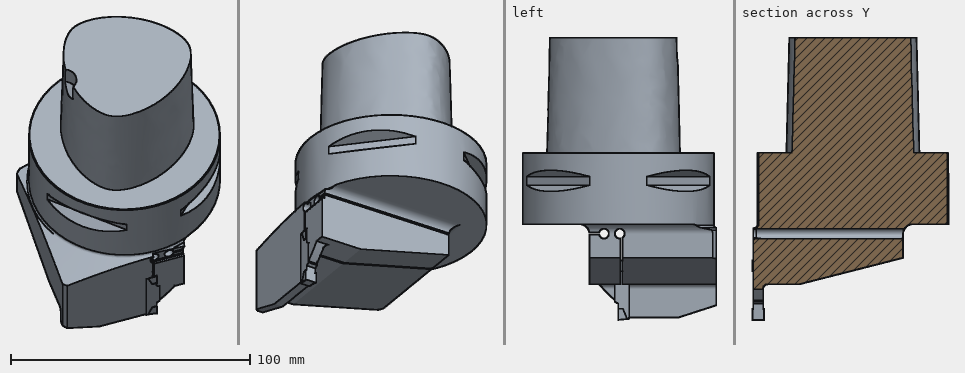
import cadquery as cq
import math


shank_height = 48.0
shank_radius = 27.8
lobe_count = 3
shank_lobe = 2.0
shank_taper = 1 / 40
shank_points = 36

keyway_radius = 5.5
keyway_depth = 8.1
keyway_point = 4.2
keyway_y = -27.0

flange_radius = 40.0
flange_height = 30.0
flange_chamfer = 0.4
notch_count = 4
notch_first_angle = 45
notch_floor_distance = 35.4
notch_floor_height = 3.5
notch_z = -11.8
notch_wall_angle = 30
notch_margin = 2.4

head_left = -21.0
head_right = 41.7
head_front = -41.0
head_back = 12.2
head_bottom = -55.1
head_left_bottom = -44.0
slope_end_x = 22.5
corner_chamfer = 1.5
head_fillet = 4.0

collar_lip = 0.4
collar_fillet = 1.1
cone_angle = 15
cone_radius = 70.8

blade_left = 37.5
blade_bottom = -68.9
blade_fillet = 1.9
blade_slope_y = -25.3
blade_front_bottom = -63.8
jaw_tip_bottom = -61.6
jaw_bulge_y = 4.5
jaw_bulge_z = -58.9
jaw_root_y = 7.9

relief_radius = 2.0
relief_z = -33.9
outer_relief_y = 6.0
inner_relief_y = -0.6
slit_width = 0.8
jaw_slit_y = -1.3
jaw_step_x = 40.4
jaw_bevel = 0.6

insert_left = 37.4
insert_top = 1.5
insert_seat = -4.5
insert_tip = shank_height - 118
insert_length = 25.0
edge_left = 37.0
edge_right = 42.0
edge_y = 0.1
edge_land_length = 6.8
edge_ramp_length = 0.8
edge_clearance = 0.5
edge_height = 4.7
edge_toe_y = -3.4
edge_toe_length = 1.1
edge_heel_y = -1.9


def lobed_outline(radius, z):
    """Closed three-lobed curve with one lobe toward +Y."""
    points = []
    for i in range(shank_points):
        angle = 2 * math.pi * i / shank_points
        phase = lobe_count * (angle - math.pi / 2)
        support = radius + shank_lobe * math.cos(phase)
        slope = -lobe_count * shank_lobe * math.sin(phase)
        x = support * math.cos(angle) - slope * math.sin(angle)
        y = support * math.sin(angle) + slope * math.cos(angle)
        points.append(cq.Vector(x, y, z))
    return cq.Wire.assembleEdges([cq.Edge.makeSpline(points, periodic=True)])


def make_shank():
    base = lobed_outline(shank_radius, 0)
    tip = lobed_outline(shank_radius - shank_taper * shank_height, shank_height)
    return cq.Workplane(cq.Solid.makeLoft([base, tip], True)).cut(make_keyway())


def make_keyway():
    """Drilled hole with a conical floor, open at the tip and on the -Y side."""
    shoulder_z = shank_height - keyway_depth
    profile = [
        (0, shank_height),
        (keyway_radius, shank_height),
        (keyway_radius, shoulder_z),
        (0, shoulder_z - keyway_point),
    ]
    keyway = cq.Workplane("XZ").polyline(profile).close().revolve(360, (0, 0), (0, 1))
    return keyway.translate((0, keyway_y, 0))


def make_flange():
    flange = cq.Workplane("XY").circle(flange_radius).extrude(-flange_height)
    flange = flange.faces(">Z").edges().chamfer(flange_chamfer)
    for i in range(notch_count):
        angle = notch_first_angle + 360 / notch_count * i
        flange = flange.cut(make_notch().rotate((0, 0, 0), (0, 0, 1), angle))
    return flange


def make_notch():
    """Gripper notch across the rim on the +X side, with a flat floor and sloping walls."""
    outer = flange_radius + notch_margin
    half_floor = notch_floor_height / 2
    half_mouth = half_floor + (outer - notch_floor_distance) * math.tan(math.radians(notch_wall_angle))
    profile = [
        (notch_floor_distance, notch_z - half_floor),
        (outer, notch_z - half_mouth),
        (outer, notch_z + half_mouth),
        (notch_floor_distance, notch_z + half_floor),
    ]
    return cq.Workplane("XZ").polyline(profile).close().extrude(flange_radius, both=True)


def make_collar():
    """Round envelope under the flange, with its conical upper side falling outward."""
    lip_z = -flange_height - collar_lip
    turn = math.radians(90 - cone_angle)
    cone_start_x = flange_radius + collar_fillet * (1 - math.cos(turn))
    cone_start_z = lip_z - collar_fillet * math.sin(turn)
    half_x = flange_radius + collar_fillet * (1 - math.cos(turn / 2))
    half_z = lip_z - collar_fillet * math.sin(turn / 2)
    cone_end_z = cone_start_z - (cone_radius - cone_start_x) * math.tan(math.radians(cone_angle))
    return (
        cq.Workplane("XZ")
        .moveTo(0, -flange_height)
        .lineTo(flange_radius, -flange_height)
        .lineTo(flange_radius, lip_z)
        .threePointArc((half_x, half_z), (cone_start_x, cone_start_z))
        .lineTo(cone_radius, cone_end_z)
        .lineTo(cone_radius, insert_tip)
        .lineTo(0, insert_tip)
        .close()
        .revolve(360, (0, 0), (0, 1))
    )


def head_front_profile():
    """Head and blade outline in X and Z, flared into the flange on the left."""
    flare_end_z = -flange_height - head_fillet
    return (
        cq.Workplane("XZ")
        .moveTo(head_left - head_fillet, -flange_height)
        .radiusArc((head_left, flare_end_z), head_fillet)
        .lineTo(head_left, head_left_bottom)
        .lineTo(slope_end_x, head_bottom)
        .lineTo(blade_left - blade_fillet, head_bottom)
        .radiusArc((blade_left, head_bottom - blade_fillet), blade_fillet)
        .lineTo(blade_left, blade_bottom)
        .lineTo(head_right, blade_bottom)
        .lineTo(head_right, -flange_height)
        .close()
        .extrude(cone_radius, both=True)
    )


def head_side_profile():
    """Head and blade outline in Y and Z, flared into the flange at the back."""
    flare_end_z = -flange_height - head_fillet
    return (
        cq.Workplane("YZ")
        .moveTo(head_back + head_fillet, -flange_height)
        .radiusArc((head_back, flare_end_z), -head_fillet)
        .lineTo(head_back, head_bottom)
        .lineTo(jaw_root_y, head_bottom)
        .threePointArc((jaw_bulge_y, jaw_bulge_z), (insert_top, jaw_tip_bottom))
        .lineTo(insert_seat, jaw_tip_bottom)
        .lineTo(insert_seat, blade_bottom)
        .lineTo(blade_slope_y, blade_bottom)
        .lineTo(head_front, blade_front_bottom)
        .lineTo(head_front, -flange_height)
        .close()
        .extrude(cone_radius, both=True)
    )


def head_plan():
    """Head outline in X and Y, with the two front corners cut at 45 degrees."""
    flare_left = head_left - head_fillet
    flare_back = head_back + head_fillet
    outline = [
        (flare_left, flare_back),
        (flare_left, head_front + corner_chamfer + head_fillet),
        (head_left + corner_chamfer, head_front),
        (head_right - corner_chamfer, head_front),
        (head_right, head_front + corner_chamfer),
        (head_right, flare_back),
    ]
    return cq.Workplane("XY").polyline(outline).close().extrude(insert_tip)


def make_head():
    """Block and blade below the flange, before the slits and the insert seat are cut."""
    head = head_front_profile().intersect(head_side_profile())
    return head.intersect(head_plan()).intersect(make_collar())


def box_between(x_range, y_range, z_range):
    size = [high - low for low, high in (x_range, y_range, z_range)]
    corner = (x_range[0], y_range[0], z_range[0])
    return cq.Workplane("XY").box(*size, centered=False).translate(corner)


def make_slits():
    """Two cross holes and the slits that run out of them."""
    across = (-cone_radius, cone_radius)
    half_slit = slit_width / 2
    holes = (
        cq.Workplane("YZ")
        .pushPoints([(outer_relief_y, relief_z), (inner_relief_y, relief_z)])
        .circle(relief_radius)
        .extrude(cone_radius, both=True)
    )
    outer_slit = box_between(
        across, (outer_relief_y, cone_radius), (relief_z - half_slit, relief_z + half_slit))
    jaw_slit = box_between(
        across, (jaw_slit_y - half_slit, jaw_slit_y + half_slit), (head_bottom, relief_z))
    return holes.union(outer_slit).union(jaw_slit)


def make_jaw_step():
    """Setback of the head's right side above the jaw, with a bevel along the jaw's upper edge."""
    step_z = relief_z - relief_radius
    profile = [
        (jaw_step_x, -flange_height),
        (jaw_step_x, step_z),
        (head_right - jaw_bevel, step_z),
        (head_right, step_z - jaw_bevel),
        (cone_radius, step_z - jaw_bevel),
        (cone_radius, -flange_height),
    ]
    step = cq.Workplane("XZ", origin=(0, jaw_slit_y, 0)).polyline(profile).close()
    return step.extrude(-cone_radius)


def make_seat_relief():
    """Clearance through the blade fillet, so that the insert side lies open below the head."""
    return box_between(
        (blade_left - blade_fillet, insert_left),
        (insert_seat, insert_top),
        (head_bottom - blade_fillet, head_bottom),
    )


def make_insert():
    """Double-ended insert, mirrored about the middle of its length.

    Each cutting end is widest at its edge and narrows to the body behind it.
    """
    middle_z = insert_tip + insert_length / 2
    edge_root_z = insert_tip + edge_land_length
    body = (
        cq.Workplane("YZ", origin=(insert_left, 0, 0))
        .moveTo(insert_seat, middle_z)
        .lineTo(insert_seat, insert_tip + edge_clearance)
        .lineTo(edge_y, insert_tip)
        .lineTo(edge_y, edge_root_z)
        .lineTo(insert_top, edge_root_z + edge_ramp_length)
        .lineTo(insert_top, middle_z)
        .close()
        .extrude(head_right - insert_left)
    )
    edge = (
        cq.Workplane("YZ", origin=(edge_left, 0, 0))
        .moveTo(edge_y, insert_tip)
        .lineTo(edge_y, insert_tip + edge_height)
        .lineTo(edge_heel_y, insert_tip + edge_height)
        .lineTo(edge_toe_y, insert_tip + edge_toe_length)
        .lineTo(edge_toe_y, insert_tip + edge_clearance)
        .close()
        .extrude(edge_right - edge_left)
    )
    edge_plan = [
        (edge_left, edge_y),
        (edge_right, edge_y),
        (head_right, edge_toe_y),
        (insert_left, edge_toe_y),
    ]
    edge = edge.intersect(cq.Workplane("XY").polyline(edge_plan).close().extrude(insert_tip))
    half = body.union(edge)
    return half.union(half.mirror("XY", (0, 0, middle_z)))


insert = make_insert()
head = make_head().cut(make_slits()).cut(make_jaw_step()).cut(make_seat_relief())
holder = make_flange().union(make_shank()).union(head).cut(insert)

result = cq.Compound.makeCompound([holder.solids().val(), insert.solids().val()])